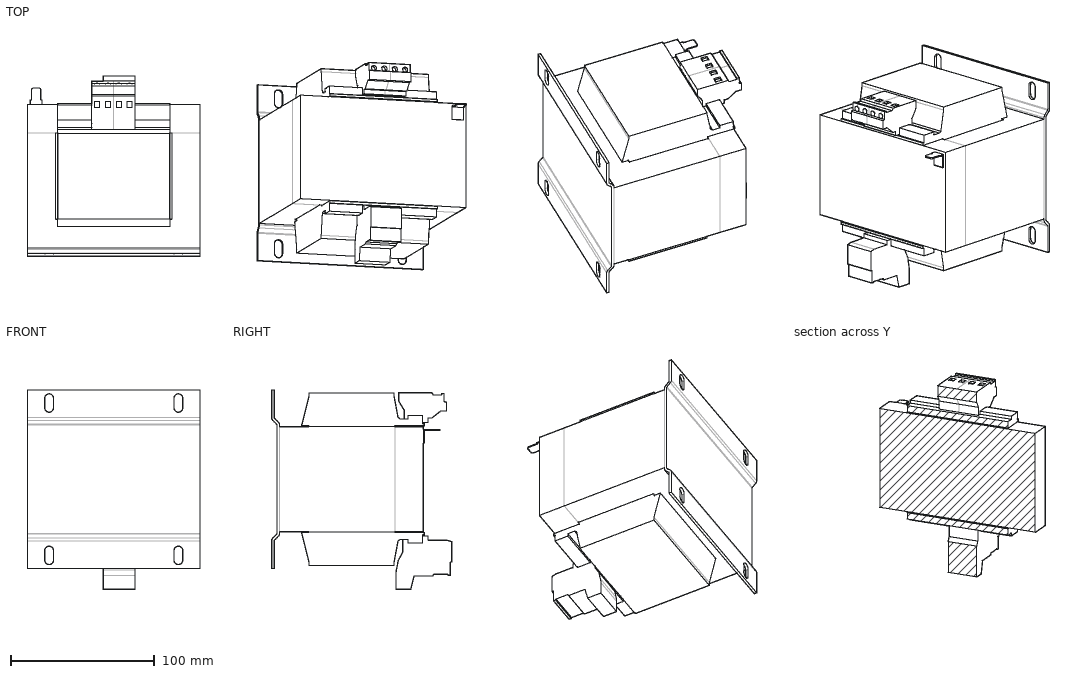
import cadquery as cq
import math


core_width = 120.0
core_half_height = 36.6
core_front = 5.7
core_back = 105.6
window_half_width = 40.3
window_front = 25.8
window_back = 85.7

plate_thickness = 2.0
plate_half_height = 62.1
bend_angle = 45
plate_step = core_front - plate_thickness
bend_start = 38.8
bend_end = bend_start + plate_step / math.tan(math.radians(bend_angle))
bend_shift = plate_thickness * math.tan(math.radians(bend_angle / 2))
inner_bend_radius = 0.8
outer_bend_radius = inner_bend_radius + plate_thickness
slot_x = 44.9
slot_z = 53.0
slot_width = 6.0
slot_length = 12.6

bobbin_half_width = 39.0
bobbin_half_height = 60.0
bobbin_gap = 0.4
bobbin_base = core_half_height + bobbin_gap
bobbin_front = 20.8
ledge_back = 105.0
ledge_front = 94.8
ledge_top = 44.2
floor_top = 42.0
lip_back = 106.3
lip_top = 38.7

block_right = 14.8
upper_block_width = 30.2
lower_block_width = 22.2
upper_block_left = block_right - upper_block_width
lower_block_left = block_right - lower_block_width
upper_block_back = 121.7
lower_block_back = 125.5
block_foot_back = 108.8
terminal_count = 4
terminal_pitch = upper_block_width / terminal_count
pocket_width = 3.5
pocket_length = 4.5
pocket_y = 105.5
pocket_depth = 1.4
block_top = 60.2
wire_hole_diameter = 3.6
wire_hole_depth = 5.5
wire_ledge_top = 54.0
wire_hole_sink = 0.1
wire_hole_z = wire_ledge_top - wire_hole_sink + wire_hole_diameter / 2
foot_top = 42.4
foot_bottom = 39.4
clip_front = 86.3
clip_depth = 76.5
clip_bend_z = -64.9
clip_bend_radius = 19.4

tab_x = -53.9
tab_thickness = 0.8
tab_top = 34.6
tab_foot_bottom = 25.1
tab_foot_width = 8.3
tab_width = 6.7
tab_shoulder = 108.8
tab_tip = 117.0
tab_chamfer = 1.0


def box(x0, x1, y0, y1, z0, z1):
    """Box between two opposite corners."""
    return cq.Workplane("XY").box(x1 - x0, y1 - y0, z1 - z0, centered=False).translate((x0, y0, z0))


def extrude_along_x(points, x0, x1):
    """Closed (Y, Z) outline extruded from x0 to x1."""
    return cq.Workplane("YZ").workplane(offset=x0).polyline(points).close().extrude(x1 - x0)


def fillet_x_edge(body, y, z, x0, x1, radius):
    """Round the edge that runs along X from x0 to x1 at the given Y and Z."""
    edge = cq.selectors.NearestToPointSelector(((x0 + x1) / 2, y, z))
    return body.edges(edge).fillet(radius)


def make_core():
    """Three-sided core closed by a straight yoke across the back."""
    half_width = core_width / 2
    height = core_half_height
    core = box(-half_width, half_width, core_front, window_back, -height, height)
    yoke = box(-half_width, half_width, window_back, core_back, -height, height)
    window = box(
        -window_half_width,
        window_half_width,
        window_front,
        window_back,
        -height,
        height,
    )
    return core.cut(window).union(yoke, clean=False)


def make_foot_plate():
    """Plate with two flanges stepped back by bends, each with two slots."""
    front_upper = [
        (plate_step, bend_start - bend_shift),
        (0, bend_end - bend_shift),
        (0, plate_half_height),
    ]
    back_upper = [
        (plate_thickness, plate_half_height),
        (plate_thickness, bend_end),
        (core_front, bend_start),
    ]
    upper = front_upper + back_upper
    lower = [(y, -z) for y, z in reversed(upper)]
    half_width = core_width / 2
    plate = extrude_along_x(upper + lower, -half_width, half_width)
    bends = [
        (plate_step, bend_start - bend_shift, inner_bend_radius),
        (0, bend_end - bend_shift, outer_bend_radius),
        (plate_thickness, bend_end, inner_bend_radius),
        (core_front, bend_start, outer_bend_radius),
    ]
    for y, z, radius in bends:
        for side in (1, -1):
            plate = fillet_x_edge(plate, y, side * z, -half_width, half_width, radius)
    slots = (
        cq.Workplane("XZ")
        .rarray(2 * slot_x, 2 * slot_z, 2, 2)
        .slot2D(slot_length, slot_width, 90)
        .extrude(-plate_thickness)
    )
    return plate.cut(slots)


def make_bobbin():
    """Winding filling the core window, with an overhanging end above and below."""
    upper = [
        (window_front, bobbin_base),
        (bobbin_front, bobbin_base),
        (25.9, 57.4),
        (25.9, bobbin_half_height),
        (85.2, bobbin_half_height),
        (85.2, 57.8),
        (88.0, 43.0),
        (89.4, floor_top),
        (ledge_front, floor_top),
        (ledge_front, ledge_top),
        (ledge_back, ledge_top),
        (ledge_back, lip_top),
        (lip_back, lip_top),
        (lip_back, bobbin_base),
        (window_back, bobbin_base),
    ]
    lower = [(y, -z) for y, z in reversed(upper)]
    return extrude_along_x(upper + lower, -bobbin_half_width, bobbin_half_width)


def make_upper_block():
    """Two equal halves side by side, with a test pocket and a wire hole per terminal."""
    outline = [
        (92.2, floor_top),
        (92.2, 48.0),
        (88.3, 54.3),
        (88.3, block_top),
        (111.5, block_top),
        (112.4, 58.6),
        (118.2, 58.6),
        (118.2, 59.6),
        (120.0, 59.6),
        (120.0, wire_ledge_top),
        (upper_block_back, 53.5),
        (upper_block_back, 47.3),
        (117.5, 47.3),
        (111.5, foot_top),
        (block_foot_back, foot_top),
        (block_foot_back, foot_bottom),
        (ledge_back, foot_bottom),
        (ledge_back, floor_top),
    ]
    middle = (upper_block_left + block_right) / 2
    left_half = extrude_along_x(outline, upper_block_left, middle)
    right_half = extrude_along_x(outline, middle, block_right)
    block = left_half.union(right_half, clean=False)
    for index in range(terminal_count):
        x = upper_block_left + (index + 0.5) * terminal_pitch
        pocket = cq.Workplane("XY").box(pocket_width, pocket_length, 2 * pocket_depth)
        wire_hole = cq.Workplane("XZ").circle(wire_hole_diameter / 2).extrude(wire_hole_depth)
        block = block.cut(pocket.translate((x, pocket_y, block_top)), clean=False)
        block = block.cut(wire_hole.translate((x, upper_block_back, wire_hole_z)), clean=False)
    return block


def make_lower_block():
    """Single block under the bobbin, with a clip reaching down at its front."""
    outline = [
        (91.2, -floor_top),
        (91.2, -50.5),
        (88.0, -56.5),
        (clip_front, clip_bend_z),
        (clip_front, -clip_depth),
        (96.9, -clip_depth),
        (99.1, -67.4),
        (112.1, -67.4),
        (112.8, -66.1),
        (122.2, -66.1),
        (122.7, -66.8),
        (124.3, -66.8),
        (124.3, -57.7),
        (lower_block_back, -57.7),
        (lower_block_back, -43.4),
        (122.1, -foot_top),
        (block_foot_back, -foot_top),
        (block_foot_back, -foot_bottom),
        (ledge_back, -foot_bottom),
        (ledge_back, -floor_top),
    ]
    block = extrude_along_x(outline, lower_block_left, block_right)
    return fillet_x_edge(block, clip_front, clip_bend_z, lower_block_left, block_right, clip_bend_radius)


def make_earth_tab():
    """Angle lying on the back of the core with a tongue pointing away from it."""
    foot_left = tab_x - tab_foot_width / 2
    foot_right = tab_x + tab_foot_width / 2
    tab_bottom = tab_top - tab_thickness
    foot_back = core_back + tab_thickness
    foot = box(foot_left, foot_right, core_back, foot_back, tab_foot_bottom, tab_top)
    shoulder = box(foot_left, foot_right, core_back, tab_shoulder, tab_bottom, tab_top)
    half_width = tab_width / 2
    tongue = box(tab_x - half_width, tab_x + half_width, core_back, tab_tip, tab_bottom, tab_top)
    tongue = tongue.edges("|Z and >Y").chamfer(tab_chamfer)
    return foot.union(shoulder).union(tongue)


result = make_core()
for piece in (
    make_foot_plate(),
    make_bobbin(),
    make_upper_block(),
    make_lower_block(),
    make_earth_tab(),
):
    result = result.union(piece, clean=False)